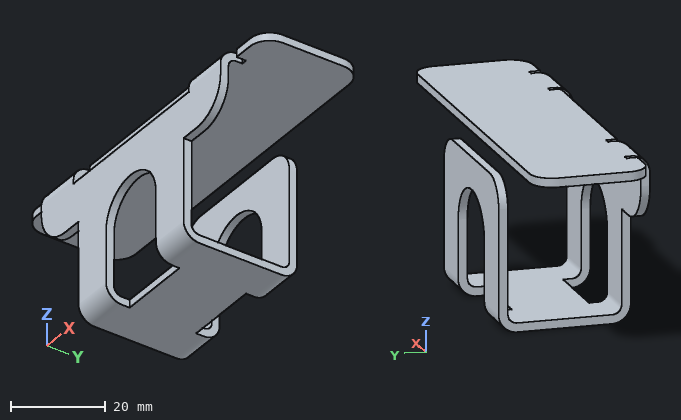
import cadquery as cq

length = 88.7
depth = 29.2
height = 40.6
sheet = 2.0
bend_inner = 2.0
bend_outer = bend_inner + sheet

plate_front = 3.2
plate_back = depth - 0.5
plate_corner = 5.0

wing_width = 66.0
tab_gap = 42.4
tab_width = (wing_width - tab_gap) / 2
tab_center = (wing_width + tab_gap) / 4
relief_width = 1.3
relief_end = 5.6

window_top = height - 5.0
wing_bottom = height - 15.6
wing_corner = 8.8

clip_width = 38.8
back_top = height - 7.1
back_corner = 6.2

arch_width = 18.4
arch_top = height - 14.3
arch_radius = arch_width / 2
floor_setback = 6.0


def box(width, x_center, y_min, y_max, z_min, z_max):
    """Box centred on x_center and spanning the given Y and Z limits."""
    block = cq.Workplane("XY").box(width, y_max - y_min, z_max - z_min, centered=(True, False, False))
    return block.translate((x_center, y_min, z_min))


def bent_loop(width):
    """Closed rectangular sheet loop with rounded bends, extruded along X."""
    outer = box(width, 0, 0, depth, 0, height).edges("|X").fillet(bend_outer)
    inner = box(width, 0, sheet, depth - sheet, sheet, height - sheet).edges("|X").fillet(bend_inner)
    return outer.cut(inner)


def make_clip():
    """Front wall, floor and rounded back wall of the clip."""
    front = bent_loop(clip_width).intersect(box(clip_width, 0, 0, depth / 2, 0, window_top))
    back = bent_loop(clip_width).intersect(box(clip_width, 0, depth / 2, depth, 0, back_top))
    back = back.edges("|Y and >Z").edges("<X or >X").fillet(back_corner)
    return front.union(back)


def make_wings():
    """Wide upper part of the front wall with rounded lower corners."""
    wings = box(wing_width, 0, 0, sheet, wing_bottom, window_top)
    return wings.edges("|Y and <Z").fillet(wing_corner)


def make_tabs():
    """Two bent tabs running from the front wall up into the plate."""
    loop = bent_loop(wing_width)
    tabs = cq.Workplane("XY")
    for side in (-1, 1):
        tab_space = box(tab_width, side * tab_center, 0, relief_end, window_top, height)
        tabs = tabs.add(loop.intersect(tab_space))
    return tabs.combine()


def make_plate():
    """Rounded top plate, cleared around the tabs by the relief slits."""
    plate = box(length, 0, plate_front, plate_back, height - sheet, height)
    plate = plate.edges("|Z").fillet(plate_corner)
    for side in (-1, 1):
        clearance = box(tab_width + 2 * relief_width, side * tab_center, 0, relief_end, 0, height)
        plate = plate.cut(clearance)
    return plate


def make_arch_cutter():
    """Arched opening through both walls that also notches the floor edges."""
    spring_line = arch_top - arch_radius
    straight = box(arch_width, 0, 0, depth, 0, spring_line)
    crown = cq.Workplane("XZ").center(0, spring_line).circle(arch_radius).extrude(-depth)
    floor = box(arch_width, 0, floor_setback, depth - floor_setback, 0, sheet)
    return straight.union(crown).cut(floor)


body = make_clip().union(make_wings()).cut(make_arch_cutter())
result = body.union(make_tabs()).union(make_plate()).translate((0, -depth / 2, -height / 2))